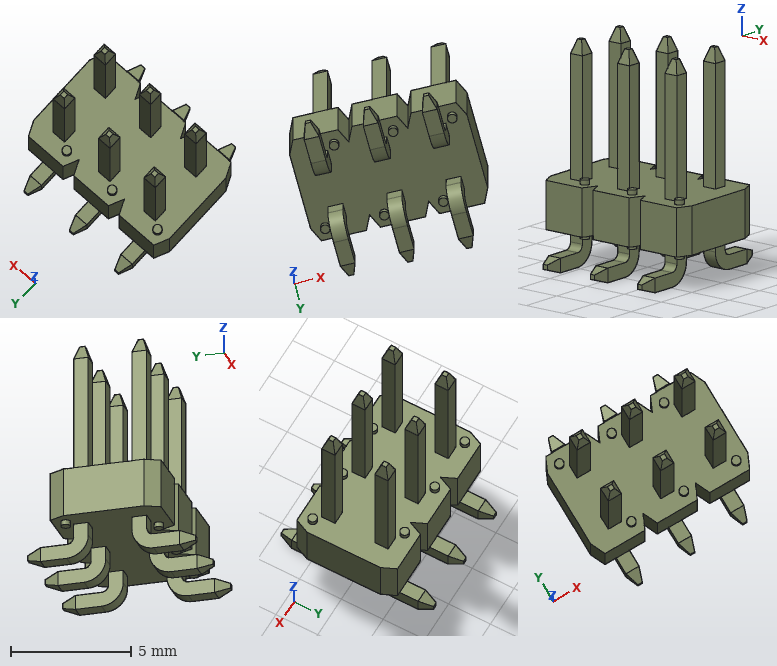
import cadquery as cq

total_length = 7.62
total_depth = 7.29
total_height = 9.68

columns = 3
pitch = total_length / columns

body_depth = 4.82
body_bottom = 1.52
body_height = 2.13
corner_cut_x = 0.3
corner_cut_y = 0.66

pin_width = 0.64
tip_width = 0.22
tip_length = 0.62
bend_inner_radius = 0.3
bend_outer_radius = bend_inner_radius + pin_width

peg_diameter = 0.4
peg_height = 0.21
peg_offset_x = 0.66
peg_offset_y = 1.83

column_centers = [(i - (columns - 1) / 2) * pitch for i in range(columns)]


def make_body_cell(center_x):
    """One column of the body: a block with its four upright corners cut off."""
    half_x = pitch / 2
    half_y = body_depth / 2
    flat_x = half_x - corner_cut_x
    flat_y = half_y - corner_cut_y
    outline = [
        (-half_x, -flat_y),
        (-flat_x, -half_y),
        (flat_x, -half_y),
        (half_x, -flat_y),
        (half_x, flat_y),
        (flat_x, half_y),
        (-flat_x, half_y),
        (-half_x, flat_y),
    ]
    return (
        cq.Workplane("XY", origin=(center_x, 0, body_bottom))
        .polyline(outline)
        .close()
        .extrude(body_height)
    )


def make_tip(base_plane):
    """Square tapered pin end, growing along the normal of base_plane."""
    return (
        cq.Workplane(base_plane)
        .rect(pin_width, pin_width)
        .workplane(offset=tip_length)
        .rect(tip_width, tip_width)
        .loft(ruled=True)
    )


def make_front_pin():
    """Pin of the -Y row at X = 0: upright post, rounded bend and foot pointing to -Y."""
    post_y = -pitch / 2
    foot_z = pin_width / 2
    post_end = total_height - tip_length
    foot_end = -total_depth / 2 + tip_length
    bend_start_y = post_y + pin_width / 2 - bend_outer_radius

    path = (
        cq.Workplane("YZ")
        .moveTo(post_y, post_end)
        .lineTo(post_y, bend_outer_radius)
        .radiusArc((bend_start_y, foot_z), bend_inner_radius + pin_width / 2)
        .lineTo(foot_end, foot_z)
    )
    shank = (
        cq.Workplane("XY", origin=(0, post_y, post_end))
        .rect(pin_width, pin_width)
        .sweep(path)
    )
    post_tip = make_tip(cq.Plane(origin=(0, post_y, post_end), xDir=(1, 0, 0), normal=(0, 0, 1)))
    foot_tip = make_tip(cq.Plane(origin=(0, foot_end, foot_z), xDir=(1, 0, 0), normal=(0, -1, 0)))
    return shank.union(post_tip).union(foot_tip)


def make_front_peg():
    """Peg beside the -Y pin at X = 0, running through the body and standing out at both ends."""
    return (
        cq.Workplane("XY", origin=(peg_offset_x, -peg_offset_y, body_bottom - peg_height))
        .circle(peg_diameter / 2)
        .extrude(body_height + 2 * peg_height)
    )


front_contact = make_front_pin().union(make_front_peg())
back_contact = front_contact.rotate((0, 0, 0), (0, 0, 1), 180)

result = make_body_cell(column_centers[0])
for center_x in column_centers[1:]:
    result = result.union(make_body_cell(center_x))
for center_x in column_centers:
    result = result.union(front_contact.translate((center_x, 0, 0)))
    result = result.union(back_contact.translate((center_x, 0, 0)))
result = result.clean()